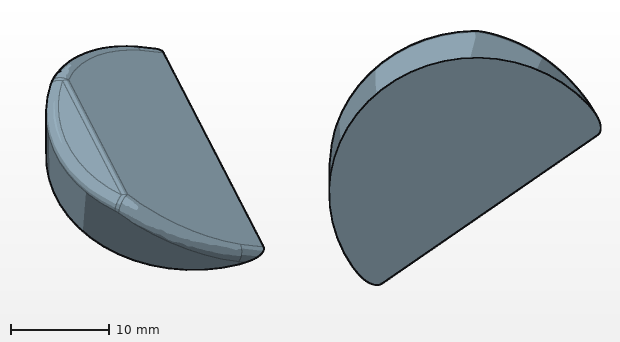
import cadquery as cq

width = 30.0
height = 8.0
front_y = -15.0
side_end_y = -1.0
back_y = 2.25
ramp_run = 13.0
edge_radius = 1.25
ridge_radius = 1.3

extra_depth = 3.0

half_width = width / 2
ramp_slope = height / ramp_run
ridge_y = back_y - ramp_run
rear_y = back_y + extra_depth / ramp_slope
floor_z = -2 * extra_depth


def footprint_block():
    """Block with a rounded front and straight sides, from the floor to the flat top."""
    return (
        cq.Workplane("XY", origin=(0, 0, floor_z))
        .moveTo(-half_width, rear_y)
        .lineTo(-half_width, side_end_y)
        .threePointArc((0, front_y), (half_width, side_end_y))
        .lineTo(half_width, rear_y)
        .close()
        .extrude(height - floor_z)
    )


def ramp_block():
    """Side profile across the full width: flat top in front, ramp down to the rear."""
    return (
        cq.Workplane("YZ", origin=(-half_width, 0, 0))
        .moveTo(front_y, floor_z)
        .lineTo(front_y, height)
        .lineTo(ridge_y, height)
        .lineTo(rear_y, -extra_depth)
        .lineTo(rear_y, floor_z)
        .close()
        .extrude(width)
    )


def edge_near(point):
    """Selector for the edge whose centre is closest to a point."""
    return cq.selectors.NearestToPointSelector(point)


def round_ridge(body):
    """Soften the straight ridge between the ramp and the flat top."""
    return body.edges(edge_near((0, ridge_y, height))).fillet(ridge_radius)


def round_rim(body):
    """Round the rim of the flat top and of the ramp, down both straight sides."""
    side_mid_y = (side_end_y + rear_y) / 2
    side_mid_z = (back_y - side_mid_y) * ramp_slope
    front_rim = edge_near((0, front_y, height))
    left_rim = edge_near((-half_width, side_mid_y, side_mid_z))
    right_rim = edge_near((half_width, side_mid_y, side_mid_z))
    return body.edges(front_rim + left_rim + right_rim).fillet(edge_radius)


def trim_to_base(body):
    """Remove everything under the base plane."""
    waste_size = 2 * width
    waste = (
        cq.Workplane("XY", origin=(0, 0, floor_z))
        .rect(waste_size, waste_size)
        .extrude(-floor_z)
    )
    return body.cut(waste)


wedge = footprint_block().intersect(ramp_block())
wedge = round_ridge(wedge)
wedge = round_rim(wedge)
result = trim_to_base(wedge)